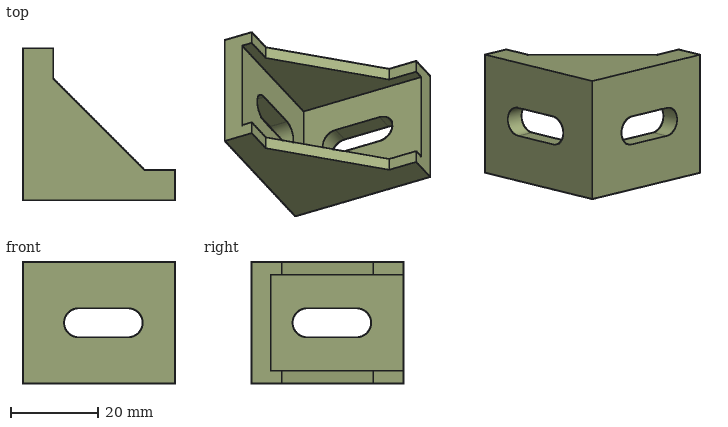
import cadquery as cq

leg_length = 35.0
height = 28.0

wall = 4.5
gusset_thickness = 3.0
gusset_end_width = 7.0

slot_length = 18.0
slot_width = 6.6
slot_offset = 18.5


def make_body():
    """L-shaped profile with its inner corner bridged by a diagonal."""
    diagonal_end = leg_length - gusset_end_width
    profile = [
        (0, 0),
        (leg_length, 0),
        (leg_length, gusset_end_width),
        (diagonal_end, gusset_end_width),
        (gusset_end_width, diagonal_end),
        (gusset_end_width, leg_length),
        (0, leg_length),
    ]
    return cq.Workplane("XY").polyline(profile).close().extrude(height)


def make_pocket():
    """Open space between the gussets, bounded by the inner wall faces."""
    side = leg_length - wall
    return (
        cq.Workplane("XY")
        .workplane(offset=gusset_thickness)
        .moveTo(wall, wall)
        .rect(side, side, centered=False)
        .extrude(height - 2 * gusset_thickness)
    )


def make_slot(plane, depth):
    """Slot cutter at mid height, starting on the outer face of a wall."""
    return (
        cq.Workplane(plane)
        .center(slot_offset, height / 2)
        .slot2D(slot_length, slot_width)
        .extrude(depth)
    )


front_slot = make_slot("XZ", -wall)
side_slot = make_slot("YZ", wall)

result = make_body().cut(make_pocket()).cut(front_slot).cut(side_slot)